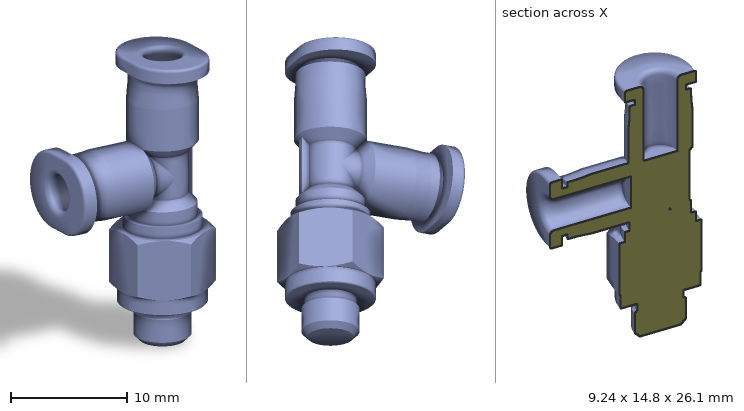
import cadquery as cq
import math


total_height = 26.15
socket_length = 10.75
tee_z = total_height - socket_length

thread_radius = 2.5
thread_tip_chamfer = 0.52
thread_top = 2.62
relief_radius = 2.28
relief_start = thread_top + thread_radius - relief_radius

flange_bottom = 3.5
flange_radius = 3.92
flange_chamfer = 0.08
hex_bottom = 4.95
hex_top = 10.4
hex_across_flats = 8.0
hex_chamfer_angle = math.radians(30)
nut_collar_radius = 3.45
nut_collar_top = 11.43

core_radius = 2.22
core_half_length = 1.95
base_radius = 3.0
web_thickness = 0.7
web_reach = 2.82

body_radius = 3.15
taper_start = 6.7
taper_end = 8.18
mouth_radius = 3.0
mouth_end = 9.05
mouth_chamfer = 0.08
sleeve_radius = 2.5
collar_start = 9.52
upper_body_start = core_half_length + body_radius - core_radius
side_body_start = 2.82

collar_length = 9.05
collar_width = 6.95
collar_edge_radius = 0.25
bore_radius = 1.608
bore_mouth_radius = 0.5
bore_depth = 7.85


def revolve_profile(points):
    """Revolve a closed outline of (radius, height) points about the Z axis."""
    return cq.Workplane("XZ").polyline(points).close().revolve(360, (0, 0, 0), (0, 1, 0))


def make_stem():
    """Threaded end, relief groove and the round flange under the hexagon."""
    return revolve_profile([
        (0, 0),
        (thread_radius - thread_tip_chamfer, 0),
        (thread_radius, thread_tip_chamfer),
        (thread_radius, thread_top),
        (relief_radius, relief_start),
        (relief_radius, flange_bottom),
        (flange_radius - flange_chamfer, flange_bottom),
        (flange_radius, flange_bottom + flange_chamfer),
        (flange_radius, hex_bottom),
        (0, hex_bottom),
    ])


def make_hexagon():
    """Hexagon with two flats facing -Y and +Y, its corners cut back by cones at both ends."""
    flat_radius = hex_across_flats / 2
    corner_radius = flat_radius / math.cos(math.pi / 6)
    corner_drop = (corner_radius - flat_radius) * math.tan(hex_chamfer_angle)
    prism = (
        cq.Workplane("XY", origin=(0, 0, hex_bottom))
        .polygon(6, 2 * corner_radius)
        .extrude(hex_top - hex_bottom)
    )
    corner_limit = revolve_profile([
        (0, hex_bottom),
        (flat_radius, hex_bottom),
        (corner_radius, hex_bottom + corner_drop),
        (corner_radius, hex_top - corner_drop),
        (flat_radius, hex_top),
        (0, hex_top),
    ])
    return prism.intersect(corner_limit)


def make_core():
    """Collar and base above the hexagon, narrowing at 45 degrees to the slim core."""
    shoulder_top = tee_z - core_half_length
    shoulder_bottom = shoulder_top - (base_radius - core_radius)
    return revolve_profile([
        (0, hex_top),
        (nut_collar_radius, hex_top),
        (nut_collar_radius, nut_collar_top),
        (base_radius, nut_collar_top),
        (base_radius, shoulder_bottom),
        (core_radius, shoulder_top),
        (core_radius, tee_z),
        (0, tee_z),
    ])


def make_web():
    """Thin rib along the back of the core, joining the upper and lower shoulders."""
    web_bottom = tee_z - core_half_length - (base_radius - core_radius)
    web_top = tee_z + upper_body_start
    return (
        cq.Workplane("XY", origin=(0, 0, web_bottom))
        .rect(web_thickness, web_reach)
        .extrude(web_top - web_bottom)
        .translate((0, web_reach / 2, 0))
    )


def make_socket(body_start):
    """Tube socket along +Z from the tee centre at the origin, without its bore."""
    body = revolve_profile([
        (0, 0),
        (core_radius, 0),
        (core_radius, core_half_length),
        (body_radius, body_start),
        (body_radius, taper_start),
        (mouth_radius, taper_end),
        (mouth_radius, mouth_end - mouth_chamfer),
        (mouth_radius - mouth_chamfer, mouth_end),
        (sleeve_radius, mouth_end),
        (sleeve_radius, collar_start),
        (0, collar_start),
    ])
    release_collar = (
        cq.Workplane("XY", origin=(0, 0, collar_start))
        .slot2D(collar_length, collar_width)
        .extrude(socket_length - collar_start)
        .faces(">Z").edges().fillet(collar_edge_radius)
    )
    return body.union(release_collar)


def make_bore():
    """Blind tube bore of a socket along +Z, flaring out at its mouth in a quarter round."""
    floor_z = socket_length - bore_depth
    round_start = socket_length - bore_mouth_radius
    diagonal = bore_mouth_radius * math.sqrt(0.5)
    return (
        cq.Workplane("XZ")
        .moveTo(0, floor_z)
        .lineTo(bore_radius, floor_z)
        .lineTo(bore_radius, round_start)
        .threePointArc(
            (bore_radius + bore_mouth_radius - diagonal, round_start + diagonal),
            (bore_radius + bore_mouth_radius, socket_length),
        )
        .lineTo(0, socket_length)
        .close()
        .revolve(360, (0, 0, 0), (0, 1, 0))
    )


def place_upper(shape):
    """Move a +Z socket shape to the tee centre, still pointing up."""
    return shape.translate((0, 0, tee_z))


def place_side(shape):
    """Turn a +Z socket shape to point along -Y and move it to the tee centre."""
    return shape.rotate((0, 0, 0), (1, 0, 0), 90).translate((0, 0, tee_z))


result = (
    make_stem()
    .union(make_hexagon())
    .union(make_core())
    .union(make_web())
    .union(place_upper(make_socket(upper_body_start)))
    .union(place_side(make_socket(side_body_start)))
    .cut(place_upper(make_bore()))
    .cut(place_side(make_bore()))
)